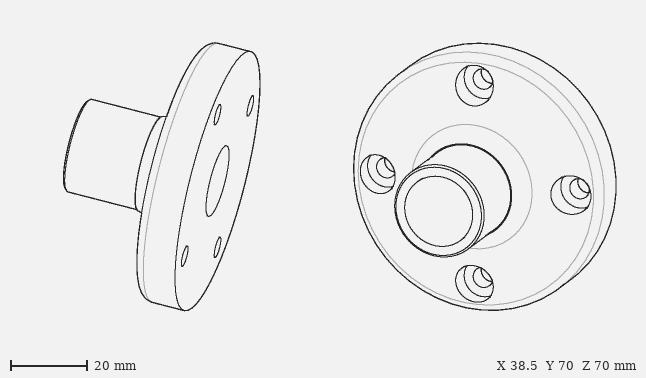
import cadquery as cq
import math

flange_radius = 35.0
length = 38.5
tube_radius = 12.5
bore_radius = 9.5
mouth_chamfer = 0.55

tube_end = 20.0
rim_start = 29.75

cone_angle = math.radians(10)
root_x = 24.3
root_radius = 16.9
root_fillet = 5.0
rim_fillet = 2.5

bolt_count = 4
bolt_circle_radius = 27.0
bolt_radius = 2.7
counterbore_radius = 5.25
counterbore_floor = 32.5


def arc_point(center, radius, angle):
    """Point on a profile arc; the angle is measured from +X toward the radial direction."""
    return (center[0] + radius * math.cos(angle), center[1] + radius * math.sin(angle))


def revolved_body():
    """Tube, flared root, conical face and rounded rim as one revolved profile."""
    root_center = (
        root_x - root_fillet * math.cos(cone_angle),
        root_radius + root_fillet * math.sin(cone_angle),
    )
    root_end_angle = -cone_angle
    root_start_angle = -math.acos((tube_end - root_center[0]) / root_fillet)
    root_middle_angle = (root_start_angle + root_end_angle) / 2

    rim_center = (rim_start, flange_radius - rim_fillet)
    rim_start_angle = math.pi - cone_angle
    rim_end_angle = math.pi / 2
    rim_middle_angle = (rim_start_angle + rim_end_angle) / 2

    return (
        cq.Workplane("XY")
        .moveTo(0, bore_radius)
        .lineTo(0, tube_radius - mouth_chamfer)
        .lineTo(mouth_chamfer, tube_radius)
        .lineTo(tube_end, tube_radius)
        .lineTo(*arc_point(root_center, root_fillet, root_start_angle))
        .threePointArc(
            arc_point(root_center, root_fillet, root_middle_angle),
            arc_point(root_center, root_fillet, root_end_angle),
        )
        .lineTo(*arc_point(rim_center, rim_fillet, rim_start_angle))
        .threePointArc(
            arc_point(rim_center, rim_fillet, rim_middle_angle),
            arc_point(rim_center, rim_fillet, rim_end_angle),
        )
        .lineTo(length, flange_radius)
        .lineTo(length, bore_radius)
        .close()
        .revolve(360, (0, 0, 0), (1, 0, 0))
    )


def bolt_cutters(radius, end_x):
    """Ring of cylinders running along X from the tube end to end_x."""
    return (
        cq.Workplane("YZ", origin=(tube_end, 0, 0))
        .polarArray(bolt_circle_radius, 0, 360, bolt_count)
        .circle(radius)
        .extrude(end_x - tube_end)
    )


bolt_holes = bolt_cutters(bolt_radius, length)
counterbores = bolt_cutters(counterbore_radius, counterbore_floor)
result = revolved_body().cut(bolt_holes).cut(counterbores)